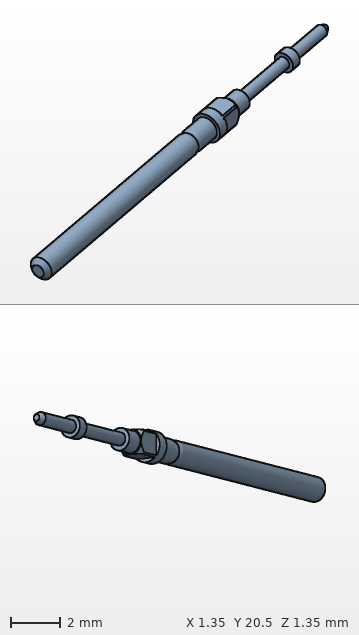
import cadquery as cq

length = 20.5
tip_length = 0.27
collar_start = 2.48
collar_length = 0.5
barrel_start = 6.07
square_start = 6.87
flange_start = 7.97
flange_length = 0.51
groove_start = 9.53
groove_width = 0.37
tail_chamfer_length = 0.23

plunger_diameter = 0.55
tip_diameter = 0.29
collar_diameter = 0.92
neck_diameter = 0.95
body_diameter = 1.05
flange_diameter = 1.35
groove_diameter = 0.95
tail_diameter = 0.57

square_side = 1.02
square_chamfer_length = 0.2


def ring(start, end, start_diameter, end_diameter=None):
    """Round stretch along Y, straight or tapered, between two distances from the tip."""
    end_diameter = end_diameter or start_diameter
    profile = [
        (0, -start),
        (start_diameter / 2, -start),
        (end_diameter / 2, -end),
        (0, -end),
    ]
    turned = cq.Workplane("XY").polyline(profile).close().revolve(360, (0, 0, 0), (0, 1, 0))
    return turned.translate((0, length / 2, 0))


def plunger():
    tip = ring(0, tip_length, tip_diameter, plunger_diameter)
    shaft = ring(tip_length, barrel_start, plunger_diameter)
    collar = ring(collar_start, collar_start + collar_length, collar_diameter)
    return tip.union(shaft).union(collar)


def square_section():
    """Square bar with its corners turned to the flange diameter and its front corners bevelled."""
    bevel_end = square_start + square_chamfer_length
    blank = ring(square_start, bevel_end, square_side, flange_diameter)
    blank = blank.union(ring(bevel_end, flange_start, flange_diameter))
    bar = cq.Workplane("XY").box(square_side, length, square_side)
    return blank.intersect(bar)


def barrel():
    flange_end = flange_start + flange_length
    groove_middle = groove_start + groove_width / 2
    groove_end = groove_start + groove_width
    chamfer_start = length - tail_chamfer_length
    body = ring(barrel_start, square_start, neck_diameter)
    body = body.union(square_section())
    body = body.union(ring(flange_start, flange_end, flange_diameter))
    body = body.union(ring(flange_end, groove_start, body_diameter))
    body = body.union(ring(groove_start, groove_middle, body_diameter, groove_diameter))
    body = body.union(ring(groove_middle, groove_end, groove_diameter, body_diameter))
    body = body.union(ring(groove_end, chamfer_start, body_diameter))
    return body.union(ring(chamfer_start, length, body_diameter, tail_diameter))


result = plunger().union(barrel())